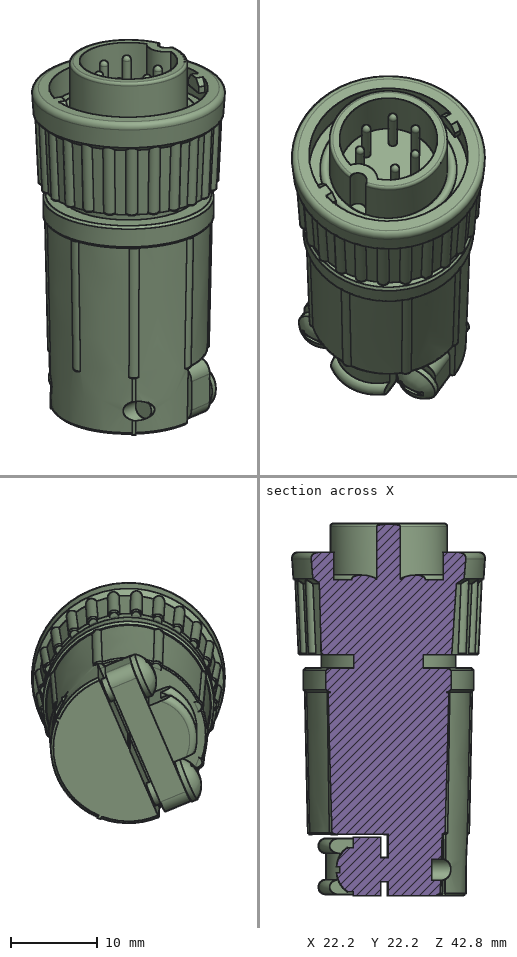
import cadquery as cq
import math

TOTAL_HEIGHT = 42.8
COLLAR_BOTTOM = 23.4
COLLAR_TOP = 26.2
RING_BOTTOM = 27.7
BAND_BOTTOM = 36.45
GRIP_TOP = 35.85
RING_TOP = 39.5
RIB_BOTTOM = 7.05
SOCKET_FLOOR = 36.35

SHELL_TOP_RADIUS = 9.42
SHELL_BOTTOM_RADIUS = 8.92
SHELL_EDGE = 0.3
COLLAR_RADIUS = 9.82
COLLAR_EDGE = 0.3
NECK_RADIUS = 7.75
CUT_FACE_Y = 0.03
RIB_COUNT = 8
RIB_RADIUS = 0.8
RIB_STAND_OUT = 0.22
RIB_EDGE = 0.2
SEAM_ANGLES = (-135, -45)
SEAM_WIDTH = 0.42
SEAM_STAND_OUT = 0.06

RING_TOP_RADIUS = 11.165
BAND_BOTTOM_RADIUS = 10.95
RING_TOP_ROUND = 0.7
RING_BORE_RADIUS = 9.12
GRIP_BOTTOM_RADIUS = 10.36
GRIP_TOP_RADIUS = 10.75
GRIP_DEPTH = 0.5
GRIP_COUNT = 24
GRIP_RIB_RADIUS = 0.72
GRIP_PHASE = -1.8
GRIP_EDGE = 0.2

LUG_ANGLES = (65.8, 245.8)
LUG_INNER_RADIUS = 8.25
LUG_WIDTH = 2.9
LUG_HEIGHT = 1.6
LUG_RAMP = 0.8

BARREL_RADIUS = 6.77
BARREL_BORE_RADIUS = 5.62
BARREL_RIM_ROUND = 0.35
KEY_CENTRE_Y = 6.7
KEY_RADIUS = 1.04
KEY_WALL_RADIUS = 2.3

SEAL_RADIUS = 7.32
SEAL_SECTION_RADIUS = 0.55

PIN_RADIUS = 0.5
PIN_TIP = 42.1
PIN_PAIRS = ((2.37, 2.41), (3.3, -0.5), (1.53, -3.42))

SCREW_X = 6.63
SCREW_Z = 3.0
SCREW_HOLE_RADIUS = 1.2
SCREW_END_Y = -5.0
SCREW_SHANK_RADIUS = 1.4
HEAD_RADIUS = 2.58
HEAD_RIM = 0.65
HEAD_HEIGHT = 1.9
HEAD_SHOULDER = (1.75, 1.45)
DRIVER_SLOT_WIDTH = 0.65
DRIVER_SLOT_DEPTH = 0.35
CLAMP_HALF_LENGTH = 8.85
CLAMP_NEAR_Y = 0.87
CLAMP_FAR_Y = 4.08
CLAMP_HEIGHT = 6.75
CLAMP_CORNER = 1.6
SADDLE_RADIUS = 5.65
SADDLE_CREST_Y = 8.07
SADDLE_HALF_LENGTH = 3.6
SADDLE_RIDGE = 0.86
SADDLE_BOTTOM = 0.14
SADDLE_TOP = 6.6


def disc(radius, bottom, top):
    """Round bar on the plug axis between two levels."""
    return cq.Workplane("XY").workplane(offset=bottom).circle(radius).extrude(top - bottom)


def revolve_profile(points):
    """Turn a closed (radius, z) outline about the plug axis."""
    return cq.Workplane("XZ").polyline(points).close().revolve(360, (0, 0), (0, 1))


def sloping_bar(bar_radius, low, high, angle, low_edge):
    """Round bar between two (radius, z) points at an angle about the axis, chamfered at its low end."""
    turn = math.radians(angle)

    def place(point):
        return cq.Vector(point[0] * math.cos(turn), point[0] * math.sin(turn), point[1])

    start = place(low)
    run = place(high) - start
    bar = cq.Workplane(cq.Solid.makeCylinder(bar_radius, run.Length, start, run))
    return bar.faces("<Z").edges().chamfer(low_edge)


def shell_radius(z):
    """Radius of the tapered back shell at a level."""
    return SHELL_BOTTOM_RADIUS + (SHELL_TOP_RADIUS - SHELL_BOTTOM_RADIUS) * z / COLLAR_BOTTOM


def make_shell():
    """Tapered body whose +Y half stops short at the cable end to make room for the clamp."""
    shell = revolve_profile([
        (0, 0),
        (SHELL_BOTTOM_RADIUS, 0),
        (SHELL_TOP_RADIUS, COLLAR_BOTTOM),
        (0, COLLAR_BOTTOM),
    ])
    shell = shell.faces("<Z").edges().chamfer(SHELL_EDGE)
    span = 2 * COLLAR_RADIUS
    clamp_room = cq.Workplane("XY").box(span, span, RIB_BOTTOM, centered=(True, False, False))
    shell = shell.cut(clamp_room.translate((0, CUT_FACE_Y, 0)))
    ceiling = cq.selectors.NearestToPointSelector((0, SHELL_BOTTOM_RADIUS / 2, RIB_BOTTOM))
    shell = shell.faces(ceiling).edges("%CIRCLE").chamfer(RIB_EDGE)
    for index in range(RIB_COUNT):
        shell = shell.union(make_shell_rib(index * 360 / RIB_COUNT))
    for angle in SEAM_ANGLES:
        shell = shell.union(make_seam(angle))
    return shell


def make_shell_rib(angle):
    inset = RIB_RADIUS - RIB_STAND_OUT
    return sloping_bar(
        RIB_RADIUS,
        (shell_radius(RIB_BOTTOM) - inset, RIB_BOTTOM),
        (SHELL_TOP_RADIUS - inset, COLLAR_BOTTOM),
        angle,
        RIB_EDGE,
    )


def make_seam(angle):
    """Narrow raised line from the foot of a rib down to the cable end."""
    top = RIB_BOTTOM + RIB_EDGE
    top_radius = shell_radius(top) + SEAM_STAND_OUT
    seam = cq.Workplane("XY").box(top_radius, SEAM_WIDTH, top, centered=(False, True, False))
    envelope = revolve_profile([
        (0, 0),
        (SHELL_BOTTOM_RADIUS + SEAM_STAND_OUT, 0),
        (top_radius, top),
        (0, top),
    ])
    return seam.rotate((0, 0, 0), (0, 0, 1), angle).intersect(envelope)


def cut_screw_holes(shell):
    for x in (-SCREW_X, SCREW_X):
        shell = shell.cut(bar_along_y(SCREW_HOLE_RADIUS, x, -COLLAR_RADIUS, SCREW_END_Y))
    return shell


def bar_along_y(radius, x, start, end):
    """Round bar parallel to Y at screw height."""
    return cq.Workplane(cq.Solid.makeCylinder(
        radius, end - start, cq.Vector(x, start, SCREW_Z), cq.Vector(0, 1, 0)
    ))


def make_collar():
    collar = disc(COLLAR_RADIUS, COLLAR_BOTTOM, COLLAR_TOP).edges().chamfer(COLLAR_EDGE)
    return collar.union(disc(NECK_RADIUS, COLLAR_TOP, RING_BOTTOM))


def make_coupling_ring():
    ring = revolve_profile([
        (0, RING_BOTTOM),
        (GRIP_BOTTOM_RADIUS - GRIP_DEPTH, RING_BOTTOM),
        (GRIP_TOP_RADIUS - GRIP_DEPTH, GRIP_TOP),
        (BAND_BOTTOM_RADIUS, BAND_BOTTOM),
        (RING_TOP_RADIUS, RING_TOP),
        (0, RING_TOP),
    ])
    ring = ring.faces(">Z").edges().fillet(RING_TOP_ROUND)
    for index in range(GRIP_COUNT):
        ring = ring.union(sloping_bar(
            GRIP_RIB_RADIUS,
            (GRIP_BOTTOM_RADIUS - GRIP_RIB_RADIUS, RING_BOTTOM),
            (GRIP_TOP_RADIUS - GRIP_RIB_RADIUS, BAND_BOTTOM),
            GRIP_PHASE + index * 360 / GRIP_COUNT,
            GRIP_EDGE,
        ))
    ring = ring.cut(disc(RING_BORE_RADIUS, SOCKET_FLOOR, RING_TOP))
    for angle in LUG_ANGLES:
        ring = ring.union(make_lug(angle))
    return ring


def make_seal():
    """Round-section ring half sunk into the socket floor."""
    return cq.Workplane(cq.Solid.makeTorus(
        SEAL_RADIUS, SEAL_SECTION_RADIUS, cq.Vector(0, 0, SOCKET_FLOOR), cq.Vector(0, 0, 1)
    ))


def make_lug(angle):
    depth = RING_BORE_RADIUS - LUG_INNER_RADIUS
    lug = (
        cq.Workplane("XY")
        .box(depth, LUG_WIDTH, LUG_HEIGHT, centered=(False, True, False))
        .faces(">Z").edges("|X").chamfer(LUG_RAMP)
        .translate((LUG_INNER_RADIUS, 0, RING_TOP - LUG_HEIGHT))
    )
    return lug.rotate((0, 0, 0), (0, 0, 1), angle)


def make_barrel():
    """Tube whose wall bends inward round an outer key groove."""
    height = TOTAL_HEIGHT - SOCKET_FLOOR
    at_floor = cq.Workplane("XY").workplane(offset=SOCKET_FLOOR)
    barrel = disc(BARREL_RADIUS, SOCKET_FLOOR, TOTAL_HEIGHT)
    barrel = barrel.faces(">Z").edges().fillet(BARREL_RIM_ROUND)
    bore = disc(BARREL_BORE_RADIUS, SOCKET_FLOOR, TOTAL_HEIGHT)
    bore = bore.cut(at_floor.center(0, KEY_CENTRE_Y).circle(KEY_WALL_RADIUS).extrude(height))
    key_groove = at_floor.center(0, KEY_CENTRE_Y).circle(KEY_RADIUS).extrude(height)
    return barrel.cut(bore).cut(key_groove)


def make_pin(x, y):
    pin = cq.Workplane("XY").workplane(offset=SOCKET_FLOOR).center(x, y)
    shank = pin.circle(PIN_RADIUS).extrude(PIN_TIP - PIN_RADIUS - SOCKET_FLOOR)
    tip = cq.Workplane("XY").sphere(PIN_RADIUS).translate((x, y, PIN_TIP - PIN_RADIUS))
    return shank.union(tip)


def make_saddle():
    """Arched bridge over the cable with a rounded ridge along each edge."""
    valley = SADDLE_RADIUS - SADDLE_RIDGE
    ridge_width = 2 * SADDLE_RIDGE
    saddle = (
        cq.Workplane("XZ")
        .moveTo(0, SADDLE_BOTTOM)
        .lineTo(valley, SADDLE_BOTTOM)
        .threePointArc((SADDLE_RADIUS, SADDLE_BOTTOM + SADDLE_RIDGE), (valley, SADDLE_BOTTOM + ridge_width))
        .lineTo(valley, SADDLE_TOP - ridge_width)
        .threePointArc((SADDLE_RADIUS, SADDLE_TOP - SADDLE_RIDGE), (valley, SADDLE_TOP))
        .lineTo(0, SADDLE_TOP)
        .close()
        .revolve(360, (0, 0), (0, 1))
        .translate((0, SADDLE_CREST_Y - SADDLE_RADIUS, 0))
    )
    bridge_space = (
        cq.Workplane("XY")
        .box(2 * SADDLE_HALF_LENGTH, SADDLE_CREST_Y, CLAMP_HEIGHT, centered=(True, False, False))
        .translate((0, CLAMP_FAR_Y, 0))
    )
    return saddle.intersect(bridge_space)


def make_screw(x):
    """Screw through clamp and shell, its domed head slotted across and its end sunk in the shell."""
    shank = bar_along_y(SCREW_SHANK_RADIUS, x, 0, CLAMP_NEAR_Y)
    tip = bar_along_y(SCREW_HOLE_RADIUS, x, SCREW_END_Y, 0)
    head = (
        cq.Workplane("XY")
        .lineTo(HEAD_RADIUS, 0)
        .lineTo(HEAD_RADIUS, HEAD_RIM)
        .threePointArc(HEAD_SHOULDER, (0, HEAD_HEIGHT))
        .close()
        .revolve(360, (0, 0), (0, 1))
    )
    slot = cq.Workplane("XY").box(2 * HEAD_RADIUS, 2 * DRIVER_SLOT_DEPTH, DRIVER_SLOT_WIDTH)
    head = head.cut(slot.translate((0, HEAD_HEIGHT, 0)))
    return shank.union(tip).union(head.translate((x, CLAMP_FAR_Y, SCREW_Z)))


def make_clamp():
    thickness = CLAMP_FAR_Y - CLAMP_NEAR_Y
    clamp = (
        cq.Workplane("XY")
        .box(2 * CLAMP_HALF_LENGTH, thickness, CLAMP_HEIGHT, centered=(True, False, False))
        .edges("|Y").fillet(CLAMP_CORNER)
        .translate((0, CLAMP_NEAR_Y, 0))
    )
    clamp = clamp.union(make_saddle())
    for x in (-SCREW_X, SCREW_X):
        clamp = clamp.union(make_screw(x))
    return clamp


result = cut_screw_holes(make_shell())
result = result.union(make_collar()).union(make_coupling_ring()).union(make_seal()).union(make_barrel())
for pin_x, pin_y in PIN_PAIRS:
    for side in (-1, 1):
        result = result.union(make_pin(side * pin_x, pin_y))
result = result.union(make_clamp())